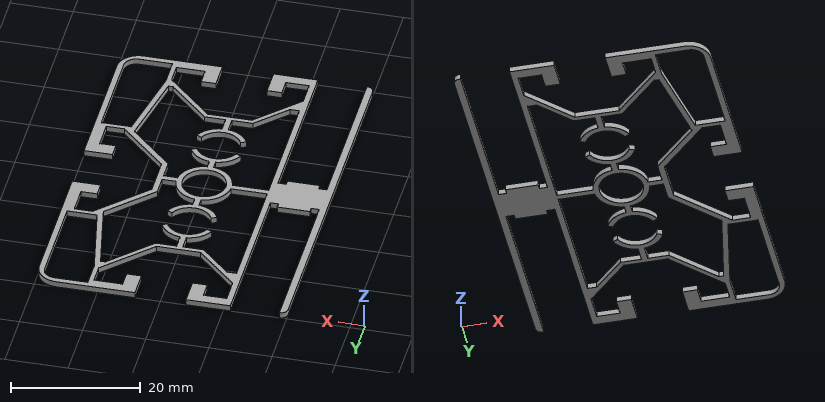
import cadquery as cq
import math


width = 40.0
length = 60.0
thickness = 1.0

half_width = width / 2
half_length = length / 2

wall = 1.0
rib = 0.85
lip_plate = 1.8
side_lip_plate = 2.0
lip_width = 2.4
lip_depth = 4.5

slot_half = 4.0
end_slot_floor = 17.6
end_floor_half = 3.5
end_slot_right = 10.9
side_lip_reach = 4.55
side_slot_top = 10.9
side_slot_floor = 7.55
side_floor_half = 3.3

body_left = -11.1
gusset_y_left = 21.55
gusset_y_right = 23.2
strut_top_x = 11.05
strut_bottom_x = 13.5
corner_strut_top_y = 24.6
corner_strut_bottom_x = 14.3
corner_radius = 3.5
chamber_corner_radius = 2.0

ring_outer = 4.4
ring_inner = 3.4
port_pitch = 10.0
port_end_angle = 25.0

flange_thickness = 1.2
flange_corner_radius = 1.0
block_half = 2.65
tab_half = 3.5
tab_gap = 1.25

body_inner_left = body_left + wall
lip_inner = slot_half + lip_width
lip_end_y = half_length - lip_depth
slot_ceiling = half_length - lip_plate
flange_left = -half_width
flange_right = flange_left + flange_thickness


def prism(points):
    return cq.Workplane("XY").polyline(points).close().extrude(thickness)


def block(x_min, x_max, y_min, y_max):
    corners = [(x_min, y_min), (x_max, y_min), (x_max, y_max), (x_min, y_max)]
    return prism(corners)


def disc(radius, y=0):
    return cq.Workplane("XY").center(0, y).circle(radius).extrude(thickness)


def end_slope(x):
    """Y on the 45 degree flanks of the end slot."""
    return end_slot_floor + abs(x) - end_floor_half


def half_body():
    """Filled +Y half of the body, with the hooked slots left open."""
    lip_face = half_width - side_lip_plate
    side_lip_x = half_width - side_lip_reach
    side_flank_x = side_slot_floor + side_slot_top - side_floor_half
    outline = [
        (body_left, 0),
        (body_left, half_length),
        (-slot_half, half_length),
        (-slot_half, lip_end_y),
        (-lip_inner, lip_end_y),
        (-lip_inner, slot_ceiling),
        (body_inner_left, slot_ceiling),
        (body_inner_left, end_slope(body_inner_left)),
        (-end_floor_half, end_slot_floor),
        (end_floor_half, end_slot_floor),
        (end_slot_right, end_slope(end_slot_right)),
        (end_slot_right, slot_ceiling),
        (lip_inner, slot_ceiling),
        (lip_inner, lip_end_y),
        (slot_half, lip_end_y),
        (slot_half, half_length),
        (half_width, half_length),
        (half_width, slot_half),
        (side_lip_x, slot_half),
        (side_lip_x, lip_inner),
        (lip_face, lip_inner),
        (lip_face, side_slot_top),
        (side_flank_x, side_slot_top),
        (side_slot_floor, side_floor_half),
        (side_slot_floor, 0),
    ]
    outer_corner = cq.selectors.NearestToPointSelector((half_width, half_length, thickness / 2))
    return prism(outline).edges("|Z").edges(outer_corner).fillet(corner_radius)


def half_central_chamber():
    """+Y half of the large chamber around the ring, bounded by ribs."""
    bend = math.sqrt(2) - 1
    ceiling = end_slot_floor - rib
    ceiling_half = end_floor_half + rib * bend
    left_gusset_x = -(ceiling_half + gusset_y_left - ceiling)
    right_gusset_x = ceiling_half + gusset_y_right - ceiling
    spine_x = side_slot_floor - wall
    spine_bend_y = side_floor_half + wall * bend
    strut_bottom_y = spine_bend_y + strut_bottom_x - spine_x
    return prism([
        (body_inner_left, 0),
        (body_inner_left, gusset_y_left),
        (left_gusset_x, gusset_y_left),
        (-ceiling_half, ceiling),
        (ceiling_half, ceiling),
        (right_gusset_x, gusset_y_right),
        (strut_top_x, gusset_y_right),
        (strut_bottom_x, strut_bottom_y),
        (spine_x, spine_bend_y),
        (spine_x, 0),
    ])


def corner_chamber():
    """Closed chamber behind the rounded outer corner."""
    left = end_slot_right + rib
    right = half_width - wall
    top = half_length - wall
    bottom = side_slot_top + rib
    chamber = prism([
        (left, top),
        (right, top),
        (right, bottom),
        (corner_strut_bottom_x, bottom),
        (left, corner_strut_top_y),
    ])
    outer_corner = cq.selectors.NearestToPointSelector((right, top, thickness / 2))
    return chamber.edges("|Z").edges(outer_corner).fillet(chamber_corner_radius)


def screw_port():
    """Ring around the port centre, split by an opening on each X side."""
    reach = 2 * ring_outer
    rise = reach * math.tan(math.radians(port_end_angle))
    port = disc(ring_outer, port_pitch).cut(disc(ring_inner, port_pitch))
    for side in (-1, 1):
        opening = prism([
            (0, port_pitch),
            (side * reach, port_pitch - rise),
            (side * reach, port_pitch + rise),
        ])
        port = port.cut(opening)
    return port


def half_stems():
    """Stems joining a screw port to the ring and to the end slot floor."""
    ring_middle = (ring_outer + ring_inner) / 2
    stem_spans = [
        (ring_middle, port_pitch - ring_middle),
        (port_pitch + ring_middle, end_slot_floor - rib / 2),
    ]
    stems = cq.Workplane("XY")
    for start, end in stem_spans:
        stems = stems.union(block(-wall / 2, wall / 2, start, end))
    return stems


def flange():
    """Strip along the left side, with rounded outer corners, and its connecting block."""
    strip = block(flange_left, flange_right, -half_length, half_length)
    strip = strip.faces("<X").edges("|Z").fillet(flange_corner_radius)
    connector = block(flange_left, body_inner_left, -block_half, block_half)
    tab = block(flange_right + tab_gap, body_left - tab_gap, -tab_half, tab_half)
    return strip.union(connector).union(tab)


half = half_body().cut(half_central_chamber()).cut(corner_chamber())
half = half.union(screw_port()).union(half_stems())

middle_web = block(body_inner_left, side_slot_floor - wall, -wall / 2, wall / 2)
middle = middle_web.union(disc(ring_outer)).cut(disc(ring_inner))

result = half.union(half.mirror("XZ")).union(middle).union(flange()).clean()